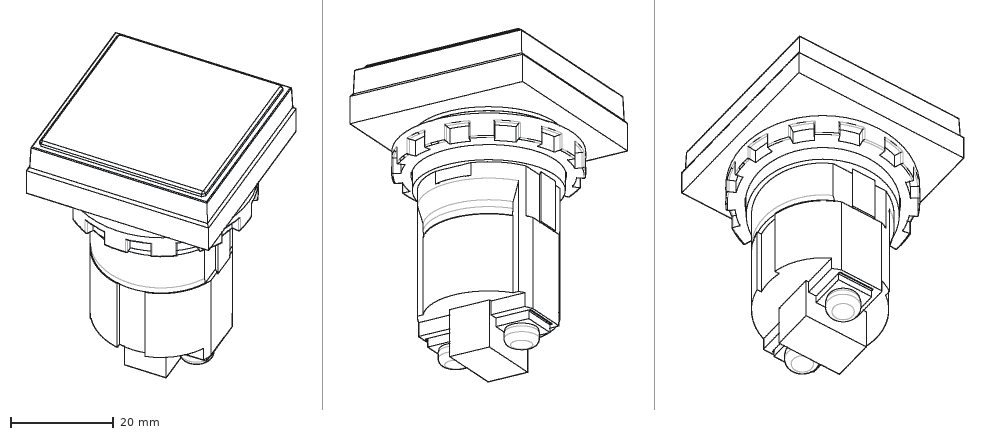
import cadquery as cq
import math


TOTAL_HEIGHT = 61.3
HEAD_SIDE = 39.6
HEAD_BOTTOM = 48.55
LEDGE_BOTTOM = 54.4
LEDGE_HEIGHT = 0.6
BEZEL_BASE_SIDE = 38.6
BEZEL_RIM_SIDE = 38.25
BEZEL_TOP = 60.2
BEZEL_RIM_HEIGHT = 0.2
BEZEL_TOP_SIDE = BEZEL_RIM_SIDE - 2 * BEZEL_RIM_HEIGHT
LENS_SIDE = 36.05
LENS_TOP_SIDE = 35.05
LENS_CORNER = 0.6
LENS_TOP_CORNER = 0.2
LENS_EDGE = 60.8

COLLAR_DIAMETER = 30.0
COLLAR_BOTTOM = 37.2
NECK_DIAMETER = 29.9
NECK_BOTTOM = 47.7

BARREL_RADIUS = 14.0
BARREL_BOTTOM = 10.05
BARREL_SPLIT = 26.6
UPPER_FLAT_X = 12.45
LOWER_FLAT_X = 13.1
TAPER_HEIGHT = 1.5
TAPER_INSET = 0.2

KEY_OUTER_X = 13.5
KEY_ROOT = 0.6
KEY_SQUARE_Y = 3.0
KEY_FLARED_Y = 2.45

RECESS_RADIUS = 12.95
GROOVE_HALF_WIDTH = 3.0
RELIEF_START_Y = 7.8
RELIEF_RAMP_BOTTOM = 29.55
RELIEF_RAMP_TOP = 33.7
BACK_FLAT_Y = 13.35
BACK_FLAT_BOTTOM = 34.5

TERMINAL_BOTTOM = 7.1
TERMINAL_NEAR_Y = 4.95
TERMINAL_FAR_Y = 6.6
SEAT_OUTER_X = 12.5
SEAT_THICKNESS = 0.2
PLATE_OUTER_X = 12.1
PLATE_BOTTOM = 5.3
PLATE_LENGTH_Y = 7.95
SOCKET_SIZE_X = 9.1
SOCKET_SIZE_Y = 14.45

SCREW_X = 8.0
TERMINAL_OFFSET_Y = 0.8
SCREW_NECK_DIAMETER = 6.6
SCREW_DIAMETER = 6.9
SCREW_SHOULDER = 4.6
SCREW_ROUND_TOP = 3.4
SCREW_BOTTOM = 2.1

NUT_DIAMETER = 38.0
NUT_BORE = 30.4
NUT_TOP = 45.4
NUT_BOTTOM = 40.35
NOTCH_COUNT = 12
NOTCH_FIRST_ANGLE = 12.2
NOTCH_HALF_ANGLE = 7.2
NOTCH_TOP = 43.65
NOTCH_ROOT_RADIUS = 17.2
TOOTH_FILLET = 0.3

CLEAR = 3.05
TOLERANCE = 0.0005


def cylinder(radius, bottom, top):
    return cq.Workplane("XY").workplane(offset=bottom).circle(radius).extrude(top - bottom)


def box(x_min, x_max, y_min, y_max, z_min, z_max):
    size = (x_max - x_min, y_max - y_min, z_max - z_min)
    return cq.Workplane("XY").box(*size, centered=False).translate((x_min, y_min, z_min))


def square_frustum(bottom_side, top_side, bottom, top):
    base = cq.Workplane("XY").workplane(offset=bottom).rect(bottom_side, bottom_side)
    return base.workplane(offset=top - bottom).rect(top_side, top_side).loft(ruled=True)


def cut_corner_outline(side, corner):
    """Corner points of a centred square with its corners cut at 45 degrees."""
    half = side / 2
    points = []
    for quarter in range(4):
        cosine = round(math.cos(quarter * math.pi / 2))
        sine = round(math.sin(quarter * math.pi / 2))
        for x, y in [(half, half - corner), (half - corner, half)]:
            points.append((x * cosine - y * sine, x * sine + y * cosine))
    return points


def cut_corner_frustum(bottom_side, bottom_corner, top_side, top_corner, bottom, top):
    base = cq.Workplane("XY").workplane(offset=bottom)
    base = base.polyline(cut_corner_outline(bottom_side, bottom_corner)).close()
    upper = base.workplane(offset=top - bottom)
    return upper.polyline(cut_corner_outline(top_side, top_corner)).close().loft(ruled=True)


def turned(profile):
    """Revolve a closed outline of (radius, z) points about Z."""
    return cq.Workplane("XZ").polyline(profile).close().revolve(360, (0, 0), (0, 1))


def half_turned(shape):
    return shape.rotate((0, 0, 0), (0, 0, 1), 180)


def make_head():
    ledge_top = LEDGE_BOTTOM + LEDGE_HEIGHT
    rim_bottom = BEZEL_TOP - BEZEL_RIM_HEIGHT
    head = square_frustum(HEAD_SIDE, HEAD_SIDE, HEAD_BOTTOM, LEDGE_BOTTOM)
    head = head.union(square_frustum(HEAD_SIDE, BEZEL_BASE_SIDE, LEDGE_BOTTOM, ledge_top))
    head = head.union(square_frustum(BEZEL_BASE_SIDE, BEZEL_RIM_SIDE, ledge_top, rim_bottom))
    head = head.union(square_frustum(BEZEL_RIM_SIDE, BEZEL_TOP_SIDE, rim_bottom, BEZEL_TOP))
    return head.union(make_lens())


def make_lens():
    skirt = cut_corner_frustum(LENS_SIDE, LENS_CORNER, LENS_SIDE, LENS_CORNER, BEZEL_TOP, LENS_EDGE)
    bevel = cut_corner_frustum(
        LENS_SIDE, LENS_CORNER, LENS_TOP_SIDE, LENS_TOP_CORNER, LENS_EDGE, TOTAL_HEIGHT
    )
    return skirt.union(bevel)


def make_collar():
    collar = cylinder(COLLAR_DIAMETER / 2, COLLAR_BOTTOM, NECK_BOTTOM)
    return collar.union(cylinder(NECK_DIAMETER / 2, NECK_BOTTOM, HEAD_BOTTOM))


def make_upper_barrel():
    barrel = cylinder(BARREL_RADIUS, BARREL_SPLIT, COLLAR_BOTTOM)
    barrel = barrel.cut(make_taper(BARREL_RADIUS, -BARREL_RADIUS - CLEAR, 0))
    flats = box(
        -UPPER_FLAT_X, UPPER_FLAT_X, -BARREL_RADIUS, BARREL_RADIUS, BARREL_SPLIT, COLLAR_BOTTOM
    )
    back_flat = box(
        -BARREL_RADIUS, BARREL_RADIUS, BACK_FLAT_Y, BARREL_RADIUS + CLEAR, BACK_FLAT_BOTTOM, COLLAR_BOTTOM
    )
    barrel = barrel.intersect(flats).cut(back_flat)
    key = make_key()
    return barrel.union(key).union(half_turned(key))


def make_taper(radius, y_min, y_max):
    """Ring cutter that tapers a round wall inward at the lower end of the upper barrel."""
    reach = BARREL_RADIUS + CLEAR
    taper_top = BARREL_SPLIT + TAPER_HEIGHT
    ring = turned([
        (radius - TAPER_INSET, BARREL_SPLIT),
        (reach, BARREL_SPLIT),
        (reach, taper_top),
        (radius, taper_top),
    ])
    return ring.intersect(box(-reach, reach, y_min, y_max, BARREL_SPLIT, taper_top))


def make_key():
    """Upright key on the -X flat, rooted inside the barrel."""
    flare = KEY_OUTER_X - UPPER_FLAT_X
    root_x = UPPER_FLAT_X - KEY_ROOT
    outline = [
        (-root_x, -KEY_SQUARE_Y),
        (-KEY_OUTER_X, -KEY_SQUARE_Y),
        (-KEY_OUTER_X, KEY_FLARED_Y),
        (-UPPER_FLAT_X, KEY_FLARED_Y - flare),
        (-root_x, KEY_FLARED_Y - flare),
    ]
    base = cq.Workplane("XY").workplane(offset=BARREL_SPLIT).polyline(outline).close()
    return base.extrude(COLLAR_BOTTOM - BARREL_SPLIT)


def make_lower_barrel():
    """Lower barrel, which runs on downward as a terminal foot on each side."""
    barrel = cylinder(BARREL_RADIUS, TERMINAL_BOTTOM, BARREL_SPLIT)
    barrel = barrel.intersect(box(
        -LOWER_FLAT_X, LOWER_FLAT_X, -BARREL_RADIUS, BARREL_RADIUS, TERMINAL_BOTTOM, BARREL_SPLIT
    ))
    keep = box(
        -BARREL_RADIUS, BARREL_RADIUS, -BARREL_RADIUS, BARREL_RADIUS, BARREL_BOTTOM, BARREL_SPLIT
    )
    foot = box(-BARREL_RADIUS, 0, -TERMINAL_NEAR_Y, TERMINAL_FAR_Y, TERMINAL_BOTTOM, BARREL_BOTTOM)
    keep = keep.union(foot).union(half_turned(foot))
    return barrel.intersect(keep).cut(make_front_groove())


def make_front_groove():
    groove = box(
        -GROOVE_HALF_WIDTH, GROOVE_HALF_WIDTH, -BARREL_RADIUS - CLEAR, 0, BARREL_BOTTOM, BARREL_SPLIT
    )
    return groove.cut(cylinder(RECESS_RADIUS, BARREL_BOTTOM, BARREL_SPLIT))


def make_back_relief():
    """Shallow relief of the +Y side, running out upward along a ramp."""
    shell = turned([
        (RECESS_RADIUS, BARREL_BOTTOM),
        (BARREL_RADIUS + CLEAR, BARREL_BOTTOM),
        (BARREL_RADIUS + CLEAR, RELIEF_RAMP_TOP),
        (BARREL_RADIUS, RELIEF_RAMP_TOP),
        (RECESS_RADIUS, RELIEF_RAMP_BOTTOM),
    ])
    reach = BARREL_RADIUS + 2 * CLEAR
    return shell.intersect(box(-reach, reach, RELIEF_START_Y, reach, BARREL_BOTTOM, RELIEF_RAMP_TOP))


def make_terminal():
    """Clamp plate and screw under the -X foot."""
    y_min = TERMINAL_OFFSET_Y - PLATE_LENGTH_Y / 2
    y_max = y_min + PLATE_LENGTH_Y
    seat_bottom = TERMINAL_BOTTOM - SEAT_THICKNESS
    seat = box(-SEAT_OUTER_X, 0, y_min, y_max, seat_bottom, TERMINAL_BOTTOM)
    plate = box(-PLATE_OUTER_X, 0, y_min, y_max, PLATE_BOTTOM, seat_bottom)
    return seat.union(plate).union(make_screw().translate((-SCREW_X, TERMINAL_OFFSET_Y, 0)))


def make_screw():
    """Screw head that widens below the plate and is rounded at its lower edge."""
    radius = SCREW_DIAMETER / 2
    rounding = SCREW_ROUND_TOP - SCREW_BOTTOM
    middle = rounding * (1 - math.sqrt(0.5))
    profile = (
        cq.Workplane("XZ")
        .moveTo(0, PLATE_BOTTOM)
        .lineTo(SCREW_NECK_DIAMETER / 2, PLATE_BOTTOM)
        .lineTo(radius, SCREW_SHOULDER)
        .lineTo(radius, SCREW_ROUND_TOP)
        .threePointArc((radius - middle, SCREW_BOTTOM + middle), (radius - rounding, SCREW_BOTTOM))
        .lineTo(0, SCREW_BOTTOM)
        .close()
    )
    return profile.revolve(360, (0, 0), (0, 1))


def make_switch_body():
    body = make_head().union(make_collar()).union(make_upper_barrel()).union(make_lower_barrel())
    body = body.cut(make_back_relief())
    body = body.cut(make_taper(RECESS_RADIUS, RELIEF_START_Y, BARREL_RADIUS + CLEAR))
    terminal = make_terminal()
    socket = box(
        -SOCKET_SIZE_X / 2, SOCKET_SIZE_X / 2, -SOCKET_SIZE_Y / 2, SOCKET_SIZE_Y / 2, 0, BARREL_BOTTOM
    )
    return body.union(socket).union(terminal).union(half_turned(terminal))


def make_notch():
    """Nut notch facing -Y, with radial walls and a round root."""
    bottom = NUT_BOTTOM - CLEAR
    reach = NUT_DIAMETER / 2 + CLEAR
    half_width = reach * math.tan(math.radians(NOTCH_HALF_ANGLE))
    wedge = cq.Workplane("XY").workplane(offset=bottom)
    wedge = wedge.polyline([(0, 0), (-half_width, -reach), (half_width, -reach)]).close()
    return wedge.extrude(NOTCH_TOP - bottom).cut(cylinder(NOTCH_ROOT_RADIUS, bottom, NOTCH_TOP))


def is_tooth_edge(edge):
    """True for the edges of the nut's outer face, other than its top edge and its seam."""
    outer_radius = NUT_DIAMETER / 2
    points = [edge.positionAt(fraction) for fraction in (0, 0.5, 1)]
    on_outer_face = all(abs(math.hypot(point.x, point.y) - outer_radius) < TOLERANCE for point in points)
    return on_outer_face and all(point.z < NUT_TOP - TOLERANCE for point in points)


def make_ring_nut():
    nut = cylinder(NUT_DIAMETER / 2, NUT_BOTTOM, NUT_TOP)
    nut = nut.cut(cylinder(NUT_BORE / 2, NUT_BOTTOM, NUT_TOP))
    notch = make_notch()
    for index in range(NOTCH_COUNT):
        angle = NOTCH_FIRST_ANGLE + index * 360 / NOTCH_COUNT
        nut = nut.cut(notch.rotate((0, 0, 0), (0, 0, 1), angle))
    return nut.edges().filter(is_tooth_edge).fillet(TOOTH_FILLET)


switch_body = make_switch_body()
ring_nut = make_ring_nut()

result = cq.Compound.makeCompound([switch_body.val(), ring_nut.val()])